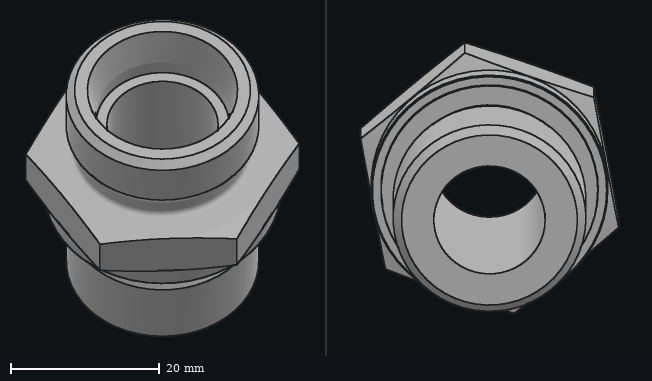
import cadquery as cq
import math

total_height = 38.0
thread_radius = 26.0 / 2
end_chamfer_height = 1.0
end_chamfer_width = 1.15

hex_across_flats = 32.0
hex_corner_diameter = hex_across_flats / math.cos(math.radians(30))
hex_bottom = 19.0
hex_top = 26.0
hex_crown_radius = 31.9 / 2
hex_crown_angle = 15.0
crown_clearance = 1.0
flange_radius = 31.9 / 2
flange_bottom = 16.0
flange_chamfer_height = 0.25
flange_chamfer_width = 0.15

upper_neck_radius = 23.7 / 2
upper_thread_bottom = 30.55
lower_neck_radius = 23.8 / 2
lower_thread_top = 11.1
relief_angle = 30.0
relief_blend_radius = 1.0
shoulder_fillet = 0.9

bore_radius = 15.0 / 2
socket_radius = 18.0 / 2
socket_depth = 7.5
cone_mouth_radius = 20.25 / 2
cone_half_angle = 12.0

seal_inner_radius = 23.9 / 2
seal_outer_radius = 29.2 / 2
seal_height = 1.5
seal_projection = 0.3
seal_bottom = flange_bottom - seal_projection
seal_top = seal_bottom + seal_height
seal_groove_radius = 29.3 / 2


def make_threaded_ends():
    """Solid turned body without the hexagon: both threads, relief grooves and flange."""
    relief_slope = math.tan(math.radians(relief_angle))
    lower_cone_top = lower_thread_top + (thread_radius - lower_neck_radius) / relief_slope
    upper_cone_bottom = upper_thread_bottom - (thread_radius - upper_neck_radius) / relief_slope
    end_radius = thread_radius - end_chamfer_width

    mid_angle = math.radians(relief_angle / 2)
    tangent_length = relief_blend_radius * math.tan(mid_angle)
    half_rise = tangent_length * math.cos(math.radians(relief_angle))
    half_run = tangent_length * math.sin(math.radians(relief_angle))
    blend_mid_run = relief_blend_radius * (1 - math.cos(mid_angle))
    blend_mid_rise = relief_blend_radius * math.sin(mid_angle)

    lower_blend_top = lower_cone_top + tangent_length
    upper_blend_bottom = upper_cone_bottom - tangent_length
    fillet_mid = shoulder_fillet * (1 - math.cos(math.radians(45)))

    profile = (
        cq.Workplane("XZ")
        .moveTo(0, 0)
        .lineTo(end_radius, 0)
        .lineTo(thread_radius, end_chamfer_height)
        .lineTo(thread_radius, lower_thread_top)
        .lineTo(lower_neck_radius + half_run, lower_cone_top - half_rise)
        .threePointArc(
            (lower_neck_radius + blend_mid_run, lower_blend_top - blend_mid_rise),
            (lower_neck_radius, lower_blend_top),
        )
        .lineTo(lower_neck_radius, flange_bottom)
        .lineTo(flange_radius - flange_chamfer_width, flange_bottom)
        .lineTo(flange_radius, flange_bottom + flange_chamfer_height)
        .lineTo(flange_radius, hex_top)
        .lineTo(upper_neck_radius + shoulder_fillet, hex_top)
        .threePointArc(
            (upper_neck_radius + fillet_mid, hex_top + fillet_mid),
            (upper_neck_radius, hex_top + shoulder_fillet),
        )
        .lineTo(upper_neck_radius, upper_blend_bottom)
        .threePointArc(
            (upper_neck_radius + blend_mid_run, upper_blend_bottom + blend_mid_rise),
            (upper_neck_radius + half_run, upper_cone_bottom + half_rise),
        )
        .lineTo(thread_radius, upper_thread_bottom)
        .lineTo(thread_radius, total_height - end_chamfer_height)
        .lineTo(end_radius, total_height)
        .lineTo(0, total_height)
        .close()
    )
    return profile.revolve(360, (0, 0, 0), (0, 1, 0))


def make_hexagon():
    """Hexagon with its corners crowned by a cone above and below."""
    hexagon = (
        cq.Workplane("XY")
        .workplane(offset=hex_bottom)
        .polygon(6, hex_corner_diameter)
        .extrude(hex_top - hex_bottom)
        .rotate((0, 0, 0), (0, 0, 1), 30)
    )
    rim_radius = hex_corner_diameter / 2 + crown_clearance
    crown_drop = (rim_radius - hex_crown_radius) * math.tan(math.radians(hex_crown_angle))
    crown = (
        cq.Workplane("XZ")
        .moveTo(0, hex_bottom)
        .lineTo(hex_crown_radius, hex_bottom)
        .lineTo(rim_radius, hex_bottom + crown_drop)
        .lineTo(rim_radius, hex_top - crown_drop)
        .lineTo(hex_crown_radius, hex_top)
        .lineTo(0, hex_top)
        .close()
        .revolve(360, (0, 0, 0), (0, 1, 0))
    )
    return hexagon.intersect(crown)


def make_bore():
    """Through bore that opens into a tube socket and a conical mouth at the top."""
    cone_depth = (cone_mouth_radius - socket_radius) / math.tan(math.radians(cone_half_angle))
    socket_floor = total_height - socket_depth
    return (
        cq.Workplane("XZ")
        .moveTo(0, 0)
        .lineTo(bore_radius, 0)
        .lineTo(bore_radius, socket_floor)
        .lineTo(socket_radius, socket_floor)
        .lineTo(socket_radius, total_height - cone_depth)
        .lineTo(cone_mouth_radius, total_height)
        .lineTo(0, total_height)
        .close()
        .revolve(360, (0, 0, 0), (0, 1, 0))
    )


def make_ring(inner_radius, outer_radius, bottom, top):
    return (
        cq.Workplane("XY")
        .workplane(offset=bottom)
        .circle(outer_radius)
        .circle(inner_radius)
        .extrude(top - bottom)
    )


def make_fitting():
    seal_groove = make_ring(lower_neck_radius, seal_groove_radius, flange_bottom, seal_top)
    return make_threaded_ends().union(make_hexagon()).cut(make_bore()).cut(seal_groove)


def make_seal():
    return make_ring(seal_inner_radius, seal_outer_radius, seal_bottom, seal_top)


fitting = make_fitting()
seal = make_seal()
result = cq.Compound.makeCompound([fitting.val(), seal.val()])